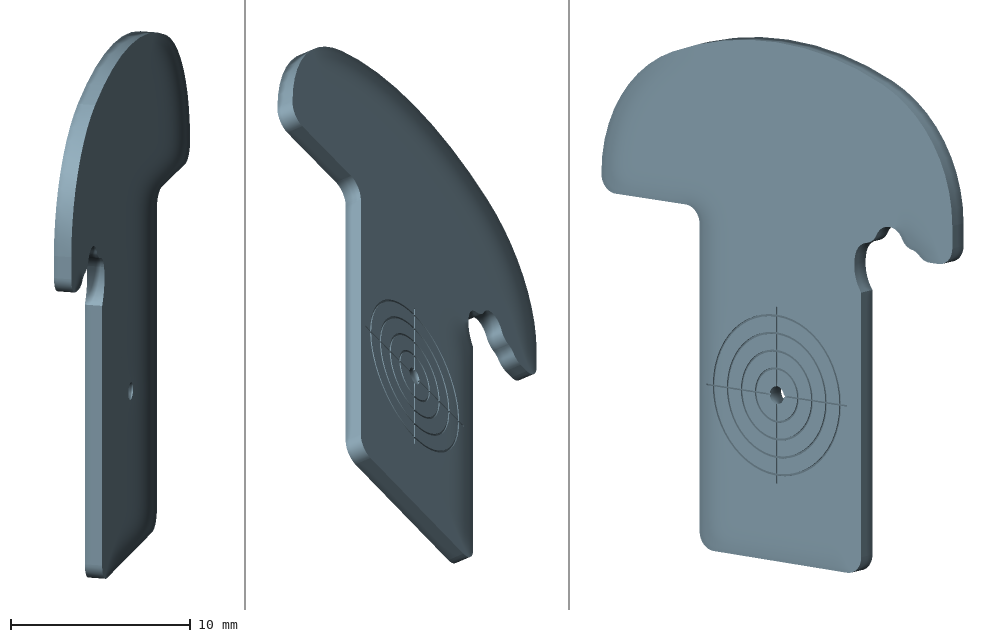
import cadquery as cq
import math

thickness = 1.0
head_width = 25.0
overall_height = 29.45

crown_radius = 20.0
shoulder_radius = 8.0
wing_bottom = 10.0
hook_bottom = 8.83
corner_radius = 1.0

stem_wing_side = 5.5
stem_hook_side = 6.0
base_slope_drop = 0.1
base_slope = base_slope_drop / (stem_wing_side + stem_hook_side)
stem_bottom = crown_radius - overall_height - base_slope * corner_radius

scallop_radius = 1.0
middle_scallop_y = -8.0
middle_scallop_height = 9.5
side_scallop_offset = 1.45
side_scallop_height = 8.42
cusp_radius = 1.0
inner_scallop_y = middle_scallop_y + side_scallop_offset
outer_scallop_y = middle_scallop_y - side_scallop_offset

wall_radius = 2.5
wall_blend_angle = math.radians(15)

hole_diameter = 1.0
ring_count = 4
first_ring_radius = 1.5
ring_spacing = 1.0
crosshair_length = 10.0
ring_width = 0.12
crosshair_width = 0.1
groove_depth = 0.1


def plate_outline():
    """Sharp-cornered plate: head with a tangent three-arc dome, and stem."""
    half_width = head_width / 2
    shoulder_y = half_width - shoulder_radius
    center_distance = crown_radius - shoulder_radius
    shoulder_z = math.sqrt(center_distance**2 - shoulder_y**2)
    blend_angle = math.atan2(shoulder_z, shoulder_y)
    blend_y = crown_radius * math.cos(blend_angle)
    blend_z = crown_radius * math.sin(blend_angle)
    middle_y = shoulder_y + shoulder_radius * math.cos(blend_angle / 2)
    middle_z = shoulder_z + shoulder_radius * math.sin(blend_angle / 2)
    return (
        cq.Workplane("YZ")
        .moveTo(half_width, wing_bottom)
        .lineTo(half_width, shoulder_z)
        .threePointArc((middle_y, middle_z), (blend_y, blend_z))
        .threePointArc((0, crown_radius), (-blend_y, blend_z))
        .threePointArc((-middle_y, middle_z), (-half_width, shoulder_z))
        .lineTo(-half_width, hook_bottom)
        .lineTo(-stem_hook_side, hook_bottom)
        .lineTo(-stem_hook_side, stem_bottom)
        .lineTo(stem_wing_side, stem_bottom + base_slope_drop)
        .lineTo(stem_wing_side, wing_bottom)
        .close()
        .extrude(thickness)
    )


def notch():
    """Three overlapping scallops and the opening below them, bounded by the wall arc."""
    scallop_centers = [
        (inner_scallop_y, side_scallop_height),
        (middle_scallop_y, middle_scallop_height),
        (outer_scallop_y, side_scallop_height),
    ]
    scallops = cq.Workplane("YZ").pushPoints(scallop_centers).circle(scallop_radius).extrude(thickness)

    center_distance = wall_radius - scallop_radius
    wall_y = inner_scallop_y - center_distance * math.cos(wall_blend_angle)
    wall_z = side_scallop_height - center_distance * math.sin(wall_blend_angle)
    blend_y = wall_y + wall_radius * math.cos(wall_blend_angle)
    blend_z = wall_z + wall_radius * math.sin(wall_blend_angle)
    wall_end_z = wall_z - math.sqrt(wall_radius**2 - (wall_y + stem_hook_side) ** 2)
    opening = (
        cq.Workplane("YZ")
        .moveTo(-stem_hook_side, wall_end_z)
        .threePointArc((wall_y + wall_radius, wall_z), (blend_y, blend_z))
        .polyline(scallop_centers, includeCurrent=True)
        .lineTo(outer_scallop_y, wall_end_z)
        .close()
        .extrude(thickness)
    )
    return scallops.union(opening)


def fillet_corner(body, y, z, radius):
    """Round the through-thickness edge nearest to the given corner."""
    corner = (thickness / 2, y, z)
    return body.edges("|X").edges(cq.selectors.NearestToPointSelector(corner)).fillet(radius)


def round_notch_edges(body):
    """Soften the cusps between the scallops and the inner corner of the hook."""
    half_span = side_scallop_offset / 2
    half_rise = (middle_scallop_height - side_scallop_height) / 2
    half_distance = math.hypot(half_span, half_rise)
    cusp_reach = math.sqrt(scallop_radius**2 - half_distance**2) / half_distance
    cusp_offset = half_span - half_rise * cusp_reach
    cusp_z = side_scallop_height + half_rise + half_span * cusp_reach
    for side in (-1, 1):
        body = fillet_corner(body, middle_scallop_y + side * cusp_offset, cusp_z, cusp_radius)
    hook_rise = hook_bottom - side_scallop_height
    hook_inner_y = outer_scallop_y - math.sqrt(scallop_radius**2 - hook_rise**2)
    return fillet_corner(body, hook_inner_y, hook_bottom, corner_radius)


def round_plate_corners(body):
    corners = [
        (head_width / 2, wing_bottom),
        (-head_width / 2, hook_bottom),
        (stem_wing_side, wing_bottom),
        (stem_wing_side, stem_bottom + base_slope_drop),
        (-stem_hook_side, stem_bottom),
    ]
    for y, z in corners:
        body = fillet_corner(body, y, z, corner_radius)
    return body


def target_grooves():
    """Concentric rings and a crosshair, cut into the X = 0 face."""
    sketch_plane = cq.Workplane("YZ")
    grooves = sketch_plane.rect(crosshair_length, crosshair_width).extrude(groove_depth)
    grooves = grooves.union(sketch_plane.rect(crosshair_width, crosshair_length).extrude(groove_depth))
    for index in range(ring_count):
        radius = first_ring_radius + index * ring_spacing
        ring = (
            sketch_plane.circle(radius + ring_width / 2)
            .circle(radius - ring_width / 2)
            .extrude(groove_depth)
        )
        grooves = grooves.union(ring)
    return grooves


plate = plate_outline().cut(notch())
plate = round_notch_edges(plate)
plate = round_plate_corners(plate)
sighting_hole = cq.Workplane("YZ").circle(hole_diameter / 2).extrude(thickness)
result = plate.cut(target_grooves()).cut(sighting_hole)